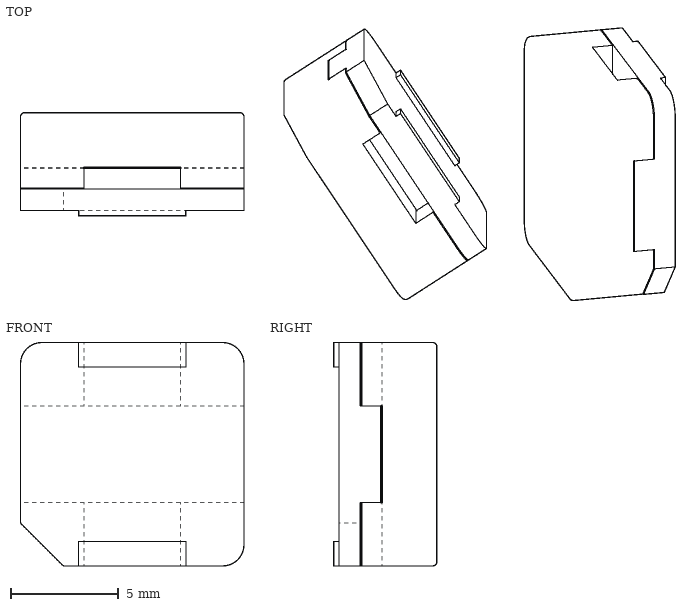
import cadquery as cq

SIDE = 10.4
TOTAL_DEPTH = 4.8

CORNER_RADIUS = 1.0
CORNER_CUT = 2.0

FOOT_WIDTH = 4.99
FOOT_HEIGHT = 1.14
FOOT_THICKNESS = 0.25
PLATE_THICKNESS = 1.0
BAR_WIDTH = 4.49
BAR_HEIGHT = 0.96

GAP = 0.05
COVER_ROUNDING = 0.2

PLATE_BACK = FOOT_THICKNESS + PLATE_THICKNESS
COVER_FRONT = PLATE_BACK + GAP
CHANNEL_FLOOR = PLATE_BACK + BAR_HEIGHT + GAP


def block(width, height, y_start, y_end, z_center=0.0):
    """Box centred on X = 0, spanning y_start to y_end."""
    return (
        cq.Workplane("XY")
        .box(width, y_end - y_start, height)
        .translate((0, (y_start + y_end) / 2, z_center))
    )


def slab(y_start, y_end):
    """Square slab with three rounded corners and the -X, -Z corner cut off."""
    half = SIDE / 2
    corner_cutter = (
        cq.Workplane("XZ", origin=(0, y_start, 0))
        .polyline([(-half, -half), (-half + CORNER_CUT, -half), (-half, -half + CORNER_CUT)])
        .close()
        .extrude(-(y_end - y_start))
    )
    return (
        block(SIDE, SIDE, y_start, y_end)
        .edges("|Y and (>X or >Z)")
        .fillet(CORNER_RADIUS)
        .cut(corner_cutter)
    )


def make_base():
    """Plate with a foot along each Z edge and a full-length bar along X on its back."""
    base = slab(FOOT_THICKNESS, PLATE_BACK)
    foot_center = (SIDE - FOOT_HEIGHT) / 2
    for z_center in (-foot_center, foot_center):
        base = base.union(block(FOOT_WIDTH, FOOT_HEIGHT, 0, FOOT_THICKNESS, z_center))
    return base.union(block(SIDE, BAR_WIDTH, PLATE_BACK, PLATE_BACK + BAR_HEIGHT))


def make_cover():
    """Thick slab with a rounded rim and crossed channels; the bar fills the X channel."""
    cut_limit = -SIDE / 2 + CORNER_CUT + COVER_ROUNDING
    cut_ends = cq.selectors.BoxSelector((-SIDE, 0, -SIDE), (cut_limit, TOTAL_DEPTH, cut_limit))
    cover = (
        slab(COVER_FRONT, TOTAL_DEPTH)
        .edges("|Y")
        .edges(cut_ends)
        .fillet(COVER_ROUNDING)
        .faces(">Y")
        .edges()
        .fillet(COVER_ROUNDING)
    )
    x_channel = block(SIDE, BAR_WIDTH, COVER_FRONT, CHANNEL_FLOOR)
    z_channel = block(BAR_WIDTH, SIDE, COVER_FRONT, CHANNEL_FLOOR)
    return cover.cut(x_channel).cut(z_channel)


base = make_base()
cover = make_cover()

result = cq.Compound.makeCompound([base.val(), cover.val()])